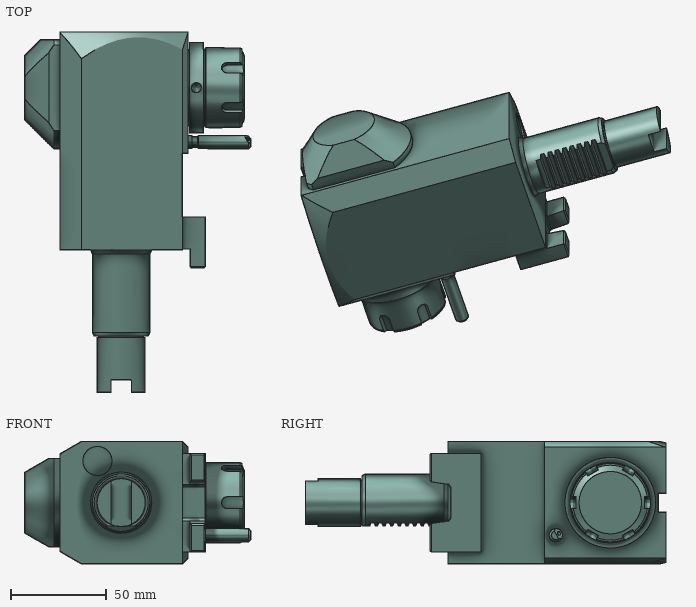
import cadquery as cq
import math


block_half_width = 32.0
block_half_height = 32.0
block_length = 114.0
bevel_width = 11.2
bevel_angle = 30.0
bevel_drop = bevel_width * math.tan(math.radians(bevel_angle))

pad_thickness = 3.0
pad_start_y = 50.5
pad_face_x = block_half_width + pad_thickness

relief_x = 9.2
relief_radius = 150.0
relief_top = 31.2
relief_half_angle = 15.0

rear_slot_width = 9.8
rear_slot_depth = 4.1
port_x = -12.4
port_z = 21.8
port_radius = 7.6
port_depth = 1.0

spindle_y = 84.85
cover_end_x = -50.5
cover_radius = 32.1
cover_face_radius = 16.8
cover_half_height = 23.1
cover_flat_offset = 25.1
cover_face_half_height = 15.8

neck_radius = 20.0
ring_radius = 23.7
ring_start_x = 35.7
ring_end_x = 43.0
nut_radius = 21.0
nut_start_x = 43.9
nut_edge_chamfer = 0.5
nut_shoulder_x = 62.0
nut_rim_x = 63.2
nut_rim_radius = 20.5
nut_crown_radius = 19.6
nut_face_x = 64.5
nut_face_radius = 16.3
nut_slot_count = 6
nut_slot_width = 6.3
nut_slot_start_x = 52.5
nut_slot_floor_radius = 18.0
ring_hole_radius = 2.6
ring_hole_depth = 4.0
ring_hole_x = 39.3
drill_point_angle = 118.0

nozzle_y = 56.4
nozzle_z = -17.0
nozzle_radius = 3.5
nozzle_neck_radius = 2.8
nozzle_collar_end_x = 36.9
nozzle_neck_end_x = 39.9
nozzle_body_start_x = 40.5
nozzle_end_x = 67.83
nozzle_chamfer = 1.2
nozzle_facet_depth = 2.2
nozzle_bore_radius = 1.0
nozzle_bore_depth = 3.0

key_outer_x = 44.0
key_leg_x = 36.0
key_half_height = 25.8
key_front_y = 0.5
key_back_y = 17.3
key_leg_end_y = -9.5
key_gap_half = 9.5
key_gap_end_half = 11.0
key_recess_half = 8.1
key_recess_depth = 1.0
key_chamfer = 0.8

shank_end_y = -74.5
collar_radius = 16.0
collar_length = 2.2
shank_radius = 15.0
shank_length = 45.0
shank_chamfer_length = 1.8
shank_chamfer = 0.9
tail_radius = 12.55
relief_neck_radius = 11.8
relief_neck_length = 0.8
tang_slot_width = 10.6
tang_slot_depth = 6.6
tang_slot_fillet = 0.5

tooth_flat_z = -12.3
tooth_flat_start_y = -7.5
tooth_first_y = -11.4
tooth_pitch = 4.0
tooth_gap_count = 8
tooth_depth = 1.6
tooth_gap_mouth = 3.1
tooth_gap_root = 1.8


def box(x0, x1, y0, y1, z0, z1):
    return cq.Workplane("XY").box(x1 - x0, y1 - y0, z1 - z0, centered=False).translate((x0, y0, z0))


def turned_x(profile, y, z):
    """Solid of revolution about a line parallel to X, from (x, radius) points."""
    body = cq.Workplane("XY").polyline(profile).close().revolve(360, (0, 0, 0), (1, 0, 0))
    return body.translate((0, y, z))


def relief_cone(side):
    """Cone along Y whose surface trims the top (side = 1) or bottom (side = -1) rear edge."""
    spread = math.tan(math.radians(relief_half_angle)) * block_length
    profile = [(0, 0), (relief_radius + spread, 0), (relief_radius, block_length), (0, block_length)]
    cone = cq.Workplane("XY").polyline(profile).close().revolve(360, (0, 0, 0), (0, 1, 0))
    return cone.translate((relief_x, 0, side * (relief_top - relief_radius)))


def make_block():
    shoulder_z = block_half_height - bevel_drop
    shoulder_x = bevel_width - block_half_width
    outline = [
        (-block_half_width, -shoulder_z),
        (shoulder_x, -block_half_height),
        (block_half_width, -block_half_height),
        (block_half_width, block_half_height),
        (shoulder_x, block_half_height),
        (-block_half_width, shoulder_z),
    ]
    block = cq.Workplane("XZ").polyline(outline).close().extrude(-block_length)
    pad_top = block_half_height - pad_thickness
    pad_outline = [
        (block_half_width, -block_half_height),
        (pad_face_x, -pad_top),
        (pad_face_x, pad_top),
        (block_half_width, block_half_height),
    ]
    pad = cq.Workplane("XZ", origin=(0, pad_start_y, 0)).polyline(pad_outline).close()
    block = block.union(pad.extrude(pad_start_y - block_length))
    block = block.intersect(relief_cone(1)).intersect(relief_cone(-1))
    slot_half = rear_slot_width / 2
    slot_floor_y = block_length - rear_slot_depth
    block = block.cut(
        box(-block_half_width, pad_face_x, slot_floor_y, block_length, -slot_half, slot_half)
    )
    port = cq.Workplane("XZ").center(port_x, port_z).circle(port_radius).extrude(-port_depth)
    return block.cut(port)


def make_cover():
    cone_base_x = cover_end_x + cover_radius - cover_face_radius
    profile = [
        (cover_end_x, 0),
        (cover_end_x, cover_face_radius),
        (cone_base_x, cover_radius),
        (-block_half_width, cover_radius),
        (-block_half_width, 0),
    ]
    cover = turned_x(profile, spindle_y, 0)
    bevel_run = (cover_half_height - cover_face_half_height) / math.tan(math.radians(bevel_angle))
    bevel_x = cover_end_x + bevel_run
    outline = [
        (cover_end_x, -cover_face_half_height),
        (bevel_x, -cover_half_height),
        (-block_half_width, -cover_half_height),
        (-block_half_width, cover_half_height),
        (bevel_x, cover_half_height),
        (cover_end_x, cover_face_half_height),
    ]
    envelope_start_y = spindle_y - cover_radius
    envelope = cq.Workplane("XZ", origin=(0, envelope_start_y, 0)).polyline(outline).close()
    return cover.intersect(envelope.extrude(-cover_radius - cover_flat_offset))


def make_nut():
    profile = [
        (block_half_width, 0),
        (block_half_width, neck_radius),
        (ring_start_x, neck_radius),
        (ring_start_x, ring_radius),
        (ring_end_x, ring_radius),
        (ring_end_x, neck_radius),
        (nut_start_x, neck_radius),
        (nut_start_x, nut_radius - nut_edge_chamfer),
        (nut_start_x + nut_edge_chamfer, nut_radius),
        (nut_shoulder_x, nut_radius),
        (nut_rim_x, nut_rim_radius),
        (nut_rim_x, nut_crown_radius),
        (nut_face_x, nut_face_radius),
        (nut_face_x, 0),
    ]
    nut = turned_x(profile, spindle_y, 0)
    for index in range(nut_slot_count):
        angle = 90 + index * 360 / nut_slot_count
        nut = nut.cut(nut_slot().rotate((0, 0, 0), (1, 0, 0), angle).translate((0, spindle_y, 0)))
    return nut.cut(ring_hole())


def nut_slot():
    """Round-ended wrench slot above the X axis, open towards the nut face."""
    half_width = nut_slot_width / 2
    slot = (
        cq.Workplane("XY", origin=(0, 0, nut_slot_floor_radius))
        .moveTo(nut_face_x, half_width)
        .lineTo(nut_slot_start_x + half_width, half_width)
        .threePointArc((nut_slot_start_x, 0), (nut_slot_start_x + half_width, -half_width))
        .lineTo(nut_face_x, -half_width)
        .close()
    )
    return slot.extrude(ring_radius - nut_slot_floor_radius)


def ring_hole():
    """Blind hole with a drill point, from the top of the ring towards the spindle axis."""
    wall_end_z = ring_radius - ring_hole_depth
    tip_z = wall_end_z - ring_hole_radius / math.tan(math.radians(drill_point_angle / 2))
    profile = [(0, tip_z), (ring_hole_radius, wall_end_z), (ring_hole_radius, ring_radius), (0, ring_radius)]
    hole = cq.Workplane("XZ").polyline(profile).close().revolve(360, (0, 0, 0), (0, 1, 0))
    return hole.translate((ring_hole_x, spindle_y, 0))


def make_nozzle():
    profile = [
        (block_half_width, 0),
        (block_half_width, nozzle_radius),
        (nozzle_collar_end_x, nozzle_radius),
        (nozzle_collar_end_x, nozzle_neck_radius),
        (nozzle_neck_end_x, nozzle_neck_radius),
        (nozzle_body_start_x, nozzle_radius),
        (nozzle_end_x - nozzle_chamfer, nozzle_radius),
        (nozzle_end_x, nozzle_radius - nozzle_chamfer),
        (nozzle_end_x, 0),
    ]
    nozzle = turned_x(profile, nozzle_y, nozzle_z)
    to_spindle = cq.Vector(0, spindle_y - nozzle_y, -nozzle_z).normalized()
    normal = (cq.Vector(1, 0, 0) + to_spindle).normalized()
    corner = cq.Vector(nozzle_end_x, nozzle_y, nozzle_z) + to_spindle * nozzle_radius
    center = corner - normal * nozzle_facet_depth
    facet = cq.Workplane(cq.Plane(origin=center.toTuple(), normal=normal.toTuple()))
    nozzle = nozzle.cut(facet.circle(2 * nozzle_radius).extrude(nozzle_radius))
    return nozzle.cut(facet.circle(nozzle_bore_radius).extrude(-nozzle_bore_depth))


def make_key():
    key = box(block_half_width, key_outer_x, key_front_y, key_back_y, -key_half_height, key_half_height)
    for side in (1, -1):
        outline = [
            (key_front_y, side * key_gap_half),
            (key_leg_end_y, side * key_gap_end_half),
            (key_leg_end_y, side * key_half_height),
            (key_front_y, side * key_half_height),
        ]
        leg = cq.Workplane("YZ", origin=(key_leg_x, 0, 0)).polyline(outline).close()
        leg = leg.extrude(key_outer_x - key_leg_x).faces("<Y").chamfer(key_chamfer)
        key = key.union(leg)
    recess_floor_y = key_front_y + key_recess_depth
    recess_outline = [
        (key_front_y, -key_gap_half),
        (recess_floor_y, -key_recess_half),
        (recess_floor_y, key_recess_half),
        (key_front_y, key_gap_half),
    ]
    recess = cq.Workplane("YZ", origin=(block_half_width, 0, 0)).polyline(recess_outline).close()
    return key.cut(recess.extrude(key_outer_x - block_half_width))


def make_shank():
    tail_start_y = -shank_length - relief_neck_length
    profile = [
        (0, 0),
        (collar_radius, 0),
        (shank_radius, -collar_length),
        (shank_radius, shank_chamfer_length - shank_length),
        (shank_radius - shank_chamfer, -shank_length),
        (relief_neck_radius, -shank_length),
        (relief_neck_radius, tail_start_y),
        (tail_radius, tail_start_y),
        (tail_radius, shank_end_y),
        (0, shank_end_y),
    ]
    shank = cq.Workplane("XY").polyline(profile).close().revolve(360, (0, 0, 0), (0, 1, 0))
    shank = shank.cut(
        box(-shank_radius, shank_radius, -shank_length, tooth_flat_start_y, -shank_radius, tooth_flat_z)
    )
    for index in range(tooth_gap_count):
        shank = shank.cut(tooth_gap(tooth_first_y - index * tooth_pitch))
    slot_half = tang_slot_width / 2
    slot_floor_y = shank_end_y + tang_slot_depth
    slot = box(-slot_half, slot_half, shank_end_y, slot_floor_y, -tail_radius, tail_radius)
    slot = slot.edges("|Z and >Y").fillet(tang_slot_fillet)
    return shank.cut(slot)


def tooth_gap(y):
    root_z = tooth_flat_z + tooth_depth
    outline = [
        (y - tooth_gap_mouth / 2, tooth_flat_z),
        (y - tooth_gap_root / 2, root_z),
        (y + tooth_gap_root / 2, root_z),
        (y + tooth_gap_mouth / 2, tooth_flat_z),
    ]
    gap = cq.Workplane("YZ").polyline(outline).close()
    return gap.extrude(shank_radius, both=True)


result = make_block()
for feature in (make_cover(), make_nut(), make_nozzle(), make_key(), make_shank()):
    result = result.union(feature)